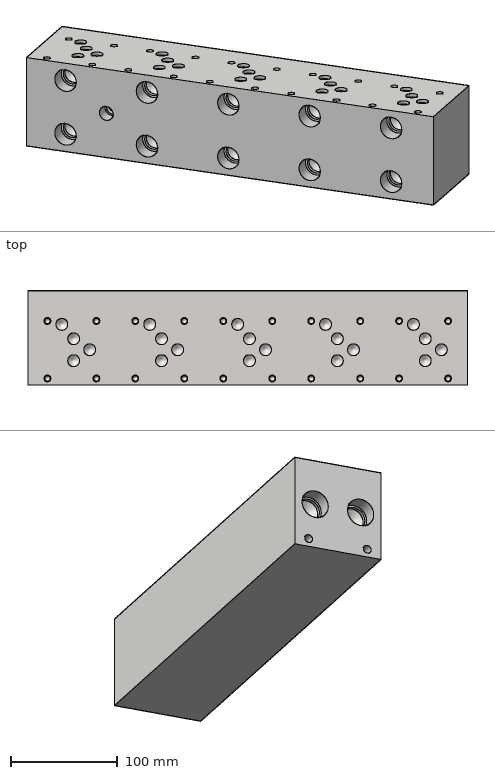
import cadquery as cq
import math

STATIONS = 5
STATION_PITCH = 82.55
LENGTH = STATIONS * STATION_PITCH
SIDE = 88.9
MID = SIDE / 2

DRILL_POINT_ANGLE = 118.0


BOLT_SPACING_X = 46.0
BOLT_SPACING_Y = 54.0
BOLT_FRONT_Y = 6.35
BOLT_LEFT_X = (STATION_PITCH - BOLT_SPACING_X) / 2
BOLT_BACK_Y = BOLT_FRONT_Y + BOLT_SPACING_Y
BOLT_THREAD = (6.35, 14.0)
BOLT_DRILL = (5.11, 18.0)

VALVE_PORT_OFFSETS = [
    (13.5, 3.2),
    (24.6, 16.7),
    (24.6, 37.3),
    (39.7, 27.0),
]
VALVE_PORT_DRILL = (11.12, 3.175)

WORK_PORT_X = 39.67
WORK_PORT_EDGE = 17.46
WORK_PORT_HEIGHTS = (WORK_PORT_EDGE, SIDE - WORK_PORT_EDGE)
WORK_PORT_THREAD = (21.59, 16.0)
WORK_PORT_DRILL = (17.48, 20.0)

GAUGE_PORT_X = 81.0
GAUGE_PORT_THREAD = (13.87, 14.0)
GAUGE_PORT_DRILL = (10.72, 20.0)

END_PORT_SPACING = 46.8
END_PORT_THREAD = (26.92, 16.0)
END_PORT_DRILL = (23.01, 20.0)

FOOT_SPACING = 60.33
FOOT_HEIGHT = 7.94
FOOT_THREAD = (7.92, 16.0)
FOOT_DRILL = (6.53, 20.0)

INTO_TOP = cq.Vector(0, 0, -1)
INTO_FRONT = cq.Vector(0, 1, 0)
INTO_END = cq.Vector(1, 0, 0)


def drilled_hole(mouth, direction, drill):
    """Blind hole with a conical drill point; the depth is that of its straight wall."""
    diameter, depth = drill
    radius = diameter / 2
    point_length = radius / math.tan(math.radians(DRILL_POINT_ANGLE / 2))
    bore = cq.Solid.makeCylinder(radius, depth, mouth, direction)
    point = cq.Solid.makeCone(radius, 0, point_length, mouth + direction * depth, direction)
    return bore.fuse(point)


def threaded_hole(mouth, direction, thread, drill):
    """Drilled hole whose outer stretch is widened to the thread diameter."""
    diameter, depth = thread
    widened = cq.Solid.makeCylinder(diameter / 2, depth, mouth, direction)
    return drilled_hole(mouth, direction, drill).fuse(widened)


def station_holes(start_x):
    """Bolt holes, valve ports and work ports of the station starting at start_x."""
    holes = []
    for x in (BOLT_LEFT_X, BOLT_LEFT_X + BOLT_SPACING_X):
        for y in (BOLT_FRONT_Y, BOLT_BACK_Y):
            mouth = cq.Vector(start_x + x, y, SIDE)
            holes.append(threaded_hole(mouth, INTO_TOP, BOLT_THREAD, BOLT_DRILL))
    for right, forward in VALVE_PORT_OFFSETS:
        mouth = cq.Vector(start_x + BOLT_LEFT_X + right, BOLT_BACK_Y - forward, SIDE)
        holes.append(drilled_hole(mouth, INTO_TOP, VALVE_PORT_DRILL))
    for height in WORK_PORT_HEIGHTS:
        mouth = cq.Vector(start_x + WORK_PORT_X, 0, height)
        holes.append(threaded_hole(mouth, INTO_FRONT, WORK_PORT_THREAD, WORK_PORT_DRILL))
    return holes


def gauge_port():
    mouth = cq.Vector(GAUGE_PORT_X, 0, MID)
    return threaded_hole(mouth, INTO_FRONT, GAUGE_PORT_THREAD, GAUGE_PORT_DRILL)


def end_holes():
    holes = []
    for side in (-1, 1):
        port_mouth = cq.Vector(0, MID + side * END_PORT_SPACING / 2, MID)
        holes.append(threaded_hole(port_mouth, INTO_END, END_PORT_THREAD, END_PORT_DRILL))
        foot_mouth = cq.Vector(0, MID + side * FOOT_SPACING / 2, FOOT_HEIGHT)
        holes.append(threaded_hole(foot_mouth, INTO_END, FOOT_THREAD, FOOT_DRILL))
    return holes


all_holes = [gauge_port()] + end_holes()
for station in range(STATIONS):
    all_holes += station_holes(station * STATION_PITCH)

block = cq.Workplane("XY").box(LENGTH, SIDE, SIDE, centered=False)
result = cq.Workplane(block.val().cut(*all_holes))